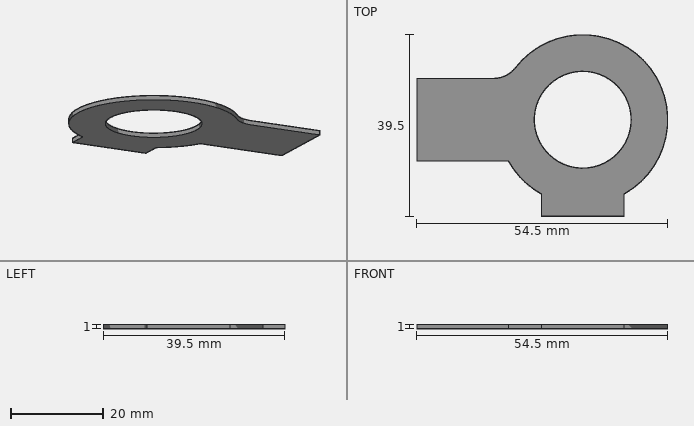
import cadquery as cq
import math

length = 54.5
thickness = 1.0
bore_diameter = 21.0
ring_radius = 18.45
tab_width = 18.0
long_tab_reach = length - ring_radius
short_tab_reach = 21.0
root_fillet = 6.0

half_width = tab_width / 2
root_distance = math.sqrt(ring_radius**2 - half_width**2)


def tab(reach, angle):
    """Flat tab from the ring centre, turned by angle from the +X direction."""
    return (
        cq.Workplane("XY")
        .rect(reach, tab_width)
        .extrude(thickness)
        .translate((reach / 2, 0, 0))
        .rotate((0, 0, 0), (0, 0, 1), angle)
    )


disc = cq.Workplane("XY").circle(ring_radius).extrude(thickness)
blank = disc.union(tab(long_tab_reach, 180)).union(tab(short_tab_reach, -90))

root_corner = (-root_distance, half_width, thickness / 2)
blank = blank.edges(cq.selectors.NearestToPointSelector(root_corner)).fillet(root_fillet)

bore = cq.Workplane("XY").circle(bore_diameter / 2).extrude(thickness)
result = blank.cut(bore)